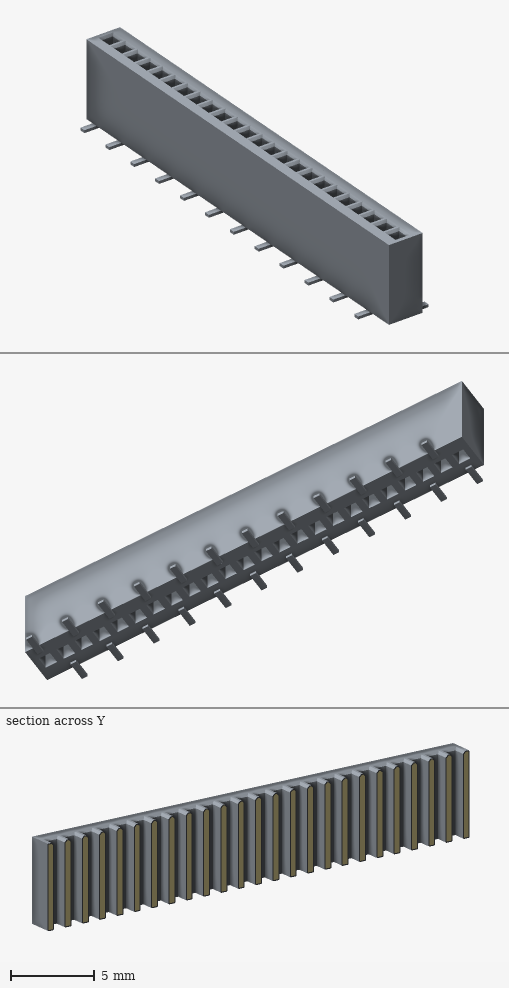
import cadquery as cq

housing_length = 30.88
housing_width = 2.5
total_height = 5.7

contact_count = 24
contact_row_length = 29.2
contact_pitch = contact_row_length / (contact_count - 1)

socket_side = 0.8
lead_in_side = 1.1
lead_in_depth = 0.15

tail_span = 4.3
tail_length = 1.3
tail_width = 0.4
tail_thickness = 0.2

housing_height = total_height - tail_thickness
contact_positions = [
    (index - (contact_count - 1) / 2) * contact_pitch for index in range(contact_count)
]


def make_housing():
    """Plain block standing on Z = 0."""
    return cq.Workplane("XY").box(
        housing_length, housing_width, housing_height, centered=(True, True, False)
    )


def make_socket(x):
    """Cutting body for one socket: square shaft plus tapered lead-in."""
    shaft = cq.Workplane("XY").center(x, 0).rect(socket_side, socket_side).extrude(housing_height)
    lead_in = (
        cq.Workplane("XY", origin=(x, 0, housing_height - lead_in_depth))
        .rect(socket_side, socket_side)
        .workplane(offset=lead_in_depth)
        .rect(lead_in_side, lead_in_side)
        .loft(ruled=True)
    )
    return shaft.union(lead_in)


def make_tail(x, side):
    """Solder tail at x, reaching out to the -Y (side = -1) or +Y (side = 1) side."""
    center_y = side * (tail_span - tail_length) / 2
    return (
        cq.Workplane("XY")
        .center(x, center_y)
        .rect(tail_width, tail_length)
        .extrude(-tail_thickness)
    )


result = make_housing()
for index, x in enumerate(contact_positions):
    side = -1 if index % 2 == 0 else 1
    result = result.cut(make_socket(x)).union(make_tail(x, side))